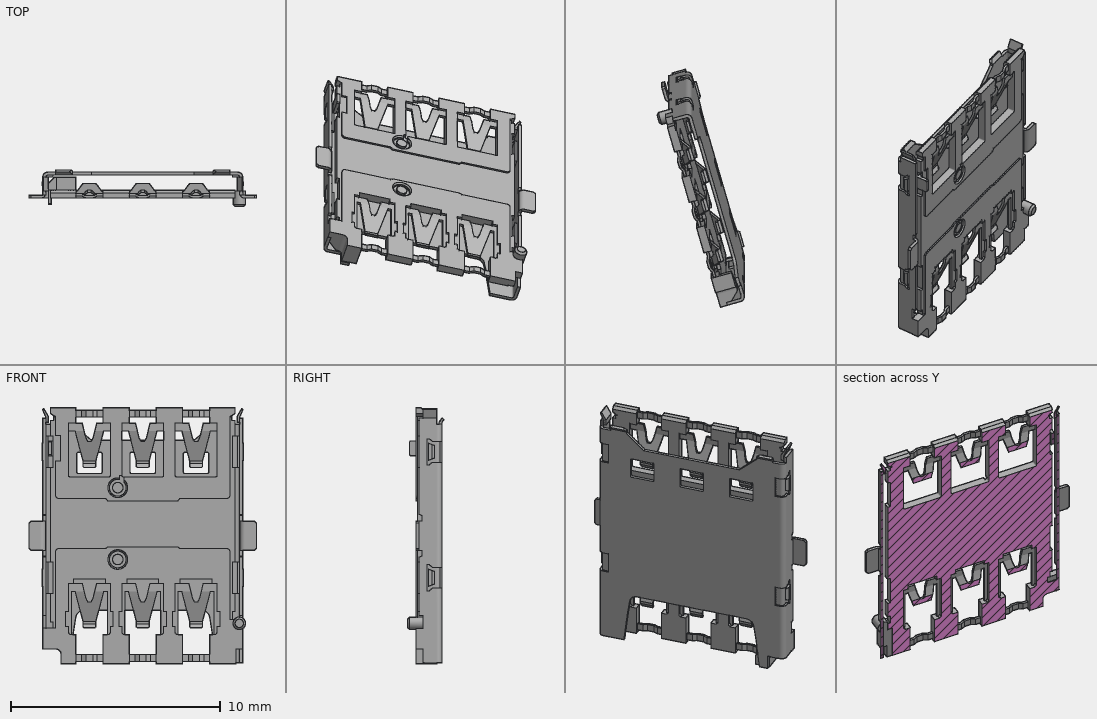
import cadquery as cq


PEG_END = -0.875
BASE_BOTTOM = -0.475
CORE_BOTTOM = -0.40
BASE_TOP = -0.09
COVER_TOP = 0.775
LIP_TOP = 0.875

EMBED = 0.05

BASE_HALF_Z = 6.1
CORE_HALF_X = 4.40
CORE_TOP_Z = 5.50
PAD_HALF_X = 4.16
PAD_STEP_HALF_X = 1.66
PAD_STEP_RUN = 0.10
UPPER_PAD_END = 1.77
UPPER_PAD_STEP = 1.65
LOWER_PAD_END = -0.60
LOWER_PAD_STEP = -0.53
PAD_RADIUS = 0.18
SHOULDER_Z = 5.82
NECK_HALF_X = 4.25
NECK_Z = 5.67
FOOT_TOP = -4.40
PEG_FOOT_TOP = -4.00
FOOT_BOTTOM = -5.40
FOOT_LEVEL = -0.13
FOOT_LEFT_END = -3.90
FOOT_NOTCH_RADIUS = 0.25
FOOT_RIGHT_END = 4.43
LEAD_IN = 0.13
CORNER_BLOCK_TOP = 0.53
CORNER_BLOCK_CHAMFER = 0.41
CORNER_BLOCK_FLAT_X = -4.10
CORNER_BLOCK_Z = -4.70

LEFT_SLOT_Z = (FOOT_TOP, -4.10)
RIGHT_SLOT_Z = (PEG_FOOT_TOP, -3.60)

TAB_NOTCH_X = -3.92
TAB_NOTCH_Z = (3.56, 4.77)
GROUND_TAB_X = (-4.50, -4.35)
GROUND_TAB_Z = (3.81, 4.52)
GROUND_TAB_END = -0.785
GROUND_TAB_ROOT_X = -4.20
GROUND_TAB_ROOT_Y = (-0.35, -0.20)

PITCH = 2.54
COLUMNS = (-PITCH, 0, PITCH)
WINDOW_HALF_X = 1.0
GAP_HALF_X = 0.64
UPPER_WINDOW_TOP = 5.36
UPPER_WINDOW_BOTTOM = 2.81
LOWER_WINDOW_TOP = -2.28
LOWER_WINDOW_BOTTOM = -4.71
WINDOW_RADIUS = 0.06
LOWER_WINDOW_CHAMFER = 0.09
RELIEF_HALF_X = 0.755
RELIEF_HEIGHT = 0.22
POCKET_HALF_X = 1.13
POCKET_Z = (-4.32, -3.60)

STRIP = 0.12
BAR_BOTTOM = -0.37
BAR_HEIGHT = 0.38
SPRING_REACH = 2.11
SPRING_PEAK = 0.236
SPRING_PEAK_Z = -1.80
SPRING_BEND_Z = -0.63
SPRING_BEND_RISE = 0.08
SPRING_TIP_DROP = 0.13
SPRING_TIP_HALF_X = 0.31
SPRING_TIP_CHAMFER = 0.05
SPRING_ROOT_HALF_X = 0.68
SPRING_NOTCH_HALF_X = 0.34
SPRING_THROAT_HALF_X = 0.17
SPRING_NOTCH_END_Z = -0.70
SPRING_NOTCH_END_HALF_X = 0.08
SPRING_NOTCH_BOTTOM_Z = -0.87
ARM_HALF_X = 0.85
TAIL_HEIGHT = 0.34
TAIL_MIDDLE_Z = 5.82
TAIL_BEND_OUT = 0.37
TAIL_BEND_IN = 0.16
TAIL_DROP = 0.10

GATE_X = -1.19
GATE_Z = (2.29, -1.13)
GATE_DIAMETER = 0.8
GATE_STUB_DIAMETER = 0.5
GATE_RIM_CHAMFER = 0.07
RIM_MARGIN = 0.001
GATE_DEPTH = 0.15
GATE_STUB_HEIGHT = 0.10
RUNNER_X = (-1.10, -0.90)
RUNNER_Z = (2.56, 2.88)

PEG_X = 4.60
PEG_Z = -4.17
PEG_DIAMETER = 0.6
PEG_CHAMFER = 0.10

SHEET = 0.15
COVER_HALF_X = 4.77
BEND_RADIUS = 0.25
INNER_BEND_RADIUS = BEND_RADIUS - SHEET
WALL_BOTTOM = -0.31
WALL_TOP_Z = 5.60
PLATE_TOP_Z = 5.32
COVER_END_Z = -6.05
LEFT_WALL_END_Z = -5.38
WALL_STEP_Z = -3.80
PLATE_MIDDLE_Z = 4.56
PLATE_MIDDLE_HALF_X = 2.45
TONGUE_HALF_X = (3.34, 4.15)
TONGUE_BEND_Z = 5.40
TONGUE_END_Z = 5.61
TONGUE_CHAMFER = 0.15
LEG_TOP_Z = -3.55
LEG_ROOT_HALF_X = 3.13
LEG_MIDDLE_HALF_X = 3.30
LEG_MIDDLE_Z = -4.60
LEG_END_HALF_X = 3.48
LEG_RADIUS = 0.4
COVER_WINDOW_HALF_X = 0.60
COVER_WINDOW_Z = (2.97, 3.97)
FOOT_TAB_HALF_X = 5.42
FOOT_TAB_HALF_Z = 0.70
FOOT_TAB_CHAMFER = 0.10
NOTCH_END_Z = 1.02
NOTCH_DEPTH_Y = -0.18
NOTCH_TAPER = 0.06

LATCH_Z = (4.0, -2.0)
LATCH_INSET = 0.10
LATCH_INNER_RADIUS = 0.05
LATCH_HALF_Z = 0.745
LATCH_INNER_X = 4.27
LATCH_WIDE_HALF = 0.62
LATCH_NARROW_HALF = 0.50
LATCH_BOTTOM = 0.05
LATCH_WIDE_TOP = 0.17
LATCH_NARROW_Y = 0.31
BUMP_OUTER_X = 4.81
BUMP_Y = (0.12, 0.42)
BUMP_HALF_Z = 0.41
BUMP_END_HALF_Z = 0.30
BUMP_CHAMFER = 0.13
FIN_Y = (-0.14, 0.53)
FIN_ROOT_Z = 5.40
FIN_BEND_Z = 5.68
FIN_TIP_Z = 6.07
FIN_INNER_X = 4.49
FIN_TIP_X = 4.72


def box(x, y, z):
    """Axis-aligned block from (low, high) ranges."""
    size = (x[1] - x[0], y[1] - y[0], z[1] - z[0])
    return cq.Workplane("XY").box(*size, centered=False).translate((x[0], y[0], z[0]))


def slab(points, y_low, y_high):
    """Prism with an XZ outline between two Y levels."""
    outline = cq.Workplane("XZ", origin=(0, y_high, 0)).polyline(points).close()
    return outline.extrude(y_high - y_low)


def side_prism(points, x_low, x_high):
    """Prism with a YZ outline between two X positions."""
    outline = cq.Workplane("YZ", origin=(x_low, 0, 0)).polyline(points).close()
    return outline.extrude(x_high - x_low)


def both_sides(body):
    """The body together with its mirror image across the YZ plane."""
    return body.union(body.mirror("YZ"))


def pad_step(side_z, middle_z):
    """Inner edge of a raised pad, from left to right, without its corners."""
    outer = PAD_STEP_HALF_X + PAD_STEP_RUN
    return [
        (-outer, side_z),
        (-PAD_STEP_HALF_X, middle_z),
        (PAD_STEP_HALF_X, middle_z),
        (outer, side_z),
    ]


def round_pad_corners(pad, z):
    """Round the two outer corners of a pad on its inner edge at the given height."""
    middle_y = (BASE_BOTTOM + BASE_TOP) / 2
    for x in (-PAD_HALF_X, PAD_HALF_X):
        corner = cq.selectors.NearestToPointSelector((x, middle_y, z))
        pad = pad.edges("|Y").edges(corner).fillet(PAD_RADIUS)
    return pad


def make_upper_pad():
    neck = [
        (PAD_HALF_X, NECK_Z),
        (CORE_HALF_X, SHOULDER_Z),
        (CORE_HALF_X, BASE_HALF_Z),
    ]
    right = [(PAD_HALF_X, UPPER_PAD_END)] + neck
    left = [(-x, z) for x, z in reversed(right)]
    outline = pad_step(UPPER_PAD_END, UPPER_PAD_STEP) + right + left
    pad = slab(outline, BASE_BOTTOM, BASE_TOP)
    pad = round_pad_corners(pad, UPPER_PAD_END)
    pad = pad.edges("|X and >Y and >Z").chamfer(LEAD_IN)
    notch = box((-PAD_HALF_X, TAB_NOTCH_X), (BASE_BOTTOM, CORE_BOTTOM), TAB_NOTCH_Z)
    return pad.cut(notch)


def make_lower_pad():
    outline = pad_step(LOWER_PAD_END, LOWER_PAD_STEP) + [
        (PAD_HALF_X, LOWER_PAD_END),
        (PAD_HALF_X, -BASE_HALF_Z),
        (FOOT_LEFT_END, -BASE_HALF_Z),
        (FOOT_LEFT_END, FOOT_BOTTOM),
        (-PAD_HALF_X, FOOT_BOTTOM),
        (-PAD_HALF_X, LOWER_PAD_END),
    ]
    pad = slab(outline, BASE_BOTTOM, BASE_TOP)
    return round_pad_corners(pad, LOWER_PAD_END)


def make_feet():
    """Wide feet under the cover walls and the tall block in the card's cut-off corner."""
    foot_y = (BASE_BOTTOM, FOOT_LEVEL)
    foot_z = (FOOT_BOTTOM, FOOT_TOP)
    feet = box((-COVER_HALF_X, FOOT_LEFT_END), foot_y, foot_z)
    feet = feet.union(box((PAD_HALF_X, COVER_HALF_X), foot_y, foot_z))
    feet = feet.union(box((PAD_HALF_X, FOOT_RIGHT_END), foot_y, (-BASE_HALF_Z, PEG_FOOT_TOP)))
    block_left = -COVER_HALF_X + SHEET
    block_right = -PITCH - GAP_HALF_X
    block = slab(
        [
            (block_left, CORNER_BLOCK_Z),
            (CORNER_BLOCK_FLAT_X, CORNER_BLOCK_Z),
            (block_right, CORNER_BLOCK_Z + CORNER_BLOCK_FLAT_X - block_right),
            (block_right, -BASE_HALF_Z),
            (FOOT_LEFT_END, -BASE_HALF_Z),
            (FOOT_LEFT_END, FOOT_BOTTOM),
            (block_left, FOOT_BOTTOM),
        ],
        BASE_BOTTOM,
        CORNER_BLOCK_TOP,
    )
    bend_clearance = (
        cq.Workplane("XY", origin=(0, 0, -BASE_HALF_Z))
        .moveTo(block_left, CORNER_BLOCK_TOP)
        .lineTo(block_left + CORNER_BLOCK_CHAMFER, CORNER_BLOCK_TOP)
        .lineTo(block_left, CORNER_BLOCK_TOP - CORNER_BLOCK_CHAMFER)
        .close()
        .extrude(BASE_HALF_Z)
    )
    return feet.union(block.cut(bend_clearance))


def foot_notch():
    """Rounded inner corner where the left foot steps in to the last column."""
    side = FOOT_NOTCH_RADIUS
    corner = box(
        (FOOT_LEFT_END - side, FOOT_LEFT_END + EMBED),
        (BASE_BOTTOM, CORNER_BLOCK_TOP),
        (FOOT_BOTTOM - side, FOOT_BOTTOM),
    )
    cylinder = (
        cq.Workplane("XZ", origin=(FOOT_LEFT_END - side, CORNER_BLOCK_TOP, FOOT_BOTTOM - side))
        .circle(side)
        .extrude(CORNER_BLOCK_TOP - BASE_BOTTOM)
    )
    return corner.cut(cylinder)


def upper_window(center_x):
    full_y = (BASE_BOTTOM, CORNER_BLOCK_TOP)
    window = box(
        (center_x - WINDOW_HALF_X, center_x + WINDOW_HALF_X),
        full_y,
        (UPPER_WINDOW_BOTTOM, UPPER_WINDOW_TOP),
    )
    window = window.edges("|Y and <Z").fillet(WINDOW_RADIUS)
    gap_x = (center_x - GAP_HALF_X, center_x + GAP_HALF_X)
    return window.union(box(gap_x, full_y, (UPPER_WINDOW_TOP, BASE_HALF_Z)))


def lower_window(center_x):
    full_y = (BASE_BOTTOM, BASE_TOP)

    def opening(half_x, z_low, z_high):
        return box((center_x - half_x, center_x + half_x), full_y, (z_low, z_high))

    window = opening(WINDOW_HALF_X, LOWER_WINDOW_BOTTOM, LOWER_WINDOW_TOP)
    window = window.edges("|Y and <Z").chamfer(LOWER_WINDOW_CHAMFER)
    window = window.union(opening(RELIEF_HALF_X, LOWER_WINDOW_TOP, LOWER_WINDOW_TOP + RELIEF_HEIGHT))
    pocket = opening(POCKET_HALF_X, *POCKET_Z)
    window = window.union(pocket.translate((0, BAR_BOTTOM - BASE_TOP, 0)))
    return window.union(opening(GAP_HALF_X, -BASE_HALF_Z, LOWER_WINDOW_BOTTOM))


def cut_gate(base, z):
    """Round recess with a chamfered rim and a short stub in the middle."""

    def disc(diameter, y_low, y_high):
        plane = cq.Workplane("XZ", origin=(GATE_X, y_high, z))
        return plane.circle(diameter / 2).extrude(y_high - y_low)

    floor = BASE_BOTTOM + GATE_DEPTH
    rim_diameter = GATE_DIAMETER + 2 * GATE_RIM_CHAMFER
    rim = disc(rim_diameter, BASE_BOTTOM, BASE_BOTTOM + GATE_RIM_CHAMFER)
    rim = rim.faces(">Y").edges().chamfer(GATE_RIM_CHAMFER - RIM_MARGIN)
    base = base.cut(disc(GATE_DIAMETER, BASE_BOTTOM, floor)).cut(rim)
    return base.union(disc(GATE_STUB_DIAMETER, floor - GATE_STUB_HEIGHT, floor))


def make_ground_tab():
    tab = box(GROUND_TAB_X, (GROUND_TAB_END, BASE_TOP), GROUND_TAB_Z)
    tab = tab.edges("|X and <Y").chamfer(WINDOW_RADIUS)
    return tab.union(box((GROUND_TAB_X[0], GROUND_TAB_ROOT_X), GROUND_TAB_ROOT_Y, GROUND_TAB_Z))


def make_peg():
    peg = cq.Workplane("XZ", origin=(PEG_X, FOOT_LEVEL, PEG_Z)).circle(PEG_DIAMETER / 2)
    return peg.extrude(FOOT_LEVEL - PEG_END).faces("<Y").chamfer(PEG_CHAMFER)


def edge_notches():
    """Clearances in both long edges of the core, beside the cover latches and the feet."""
    depth_y = (BASE_BOTTOM, BASE_TOP)
    right_x = (LATCH_INNER_X, CORE_HALF_X)
    left_x = (-CORE_HALF_X, -LATCH_INNER_X)
    notches = box(left_x, depth_y, LEFT_SLOT_Z).union(box(right_x, depth_y, RIGHT_SLOT_Z))
    for z in LATCH_Z:
        notch = box(right_x, depth_y, (z - LATCH_HALF_Z, z + LATCH_HALF_Z))
        notches = notches.union(both_sides(notch))
    return notches


def make_base():
    core = box((-CORE_HALF_X, CORE_HALF_X), (CORE_BOTTOM, BASE_TOP), (FOOT_TOP, CORE_TOP_Z))
    core = core.union(box((-NECK_HALF_X, NECK_HALF_X), (CORE_BOTTOM, BASE_TOP), (FOOT_TOP, NECK_Z)))
    core = core.cut(edge_notches())
    base = core.union(make_upper_pad()).union(make_lower_pad()).union(make_feet())
    base = base.union(foot_notch())
    for x in COLUMNS:
        base = base.cut(upper_window(x)).cut(lower_window(x))
    for z in GATE_Z:
        base = cut_gate(base, z)
    base = base.cut(box(RUNNER_X, (BASE_BOTTOM, BASE_BOTTOM + GATE_DEPTH), RUNNER_Z))
    return base.union(make_ground_tab()).union(make_peg())


def make_spring():
    """Cross bar and V-shaped spring at x = 0, with the top of the bar at z = 0."""
    bar_top = BAR_BOTTOM + STRIP
    bend_bottom = BAR_BOTTOM + SPRING_BEND_RISE
    tip_y = SPRING_PEAK - SPRING_TIP_DROP
    profile = side_prism(
        [
            (BAR_BOTTOM, 0),
            (bar_top, 0),
            (bar_top, -BAR_HEIGHT),
            (bend_bottom + STRIP, SPRING_BEND_Z),
            (SPRING_PEAK, SPRING_PEAK_Z),
            (SPRING_PEAK, SPRING_PEAK_Z - STRIP),
            (tip_y, -SPRING_REACH),
            (tip_y - STRIP, -SPRING_REACH),
            (SPRING_PEAK - STRIP, SPRING_PEAK_Z - STRIP),
            (SPRING_PEAK - STRIP, SPRING_PEAK_Z),
            (bend_bottom, SPRING_BEND_Z),
            (BAR_BOTTOM, -BAR_HEIGHT),
        ],
        -WINDOW_HALF_X,
        WINDOW_HALF_X,
    )
    half = [
        (SPRING_NOTCH_END_HALF_X, SPRING_NOTCH_BOTTOM_Z),
        (SPRING_THROAT_HALF_X, SPRING_NOTCH_END_Z),
        (SPRING_NOTCH_HALF_X, 0),
        (WINDOW_HALF_X, 0),
        (WINDOW_HALF_X, -BAR_HEIGHT),
        (SPRING_ROOT_HALF_X, -BAR_HEIGHT),
        (SPRING_TIP_HALF_X, SPRING_PEAK_Z),
        (SPRING_TIP_HALF_X, SPRING_TIP_CHAMFER - SPRING_REACH),
        (SPRING_TIP_HALF_X - SPRING_TIP_CHAMFER, -SPRING_REACH),
    ]
    left = [(-x, z) for x, z in reversed(half)]
    outline = slab(half + left, BASE_BOTTOM, COVER_TOP)
    return profile.intersect(outline)


def make_arms():
    """Two strips down the sides of a lower window at x = 0, with barbs set in the pockets."""
    arm_y = (BAR_BOTTOM, BAR_BOTTOM + STRIP)
    arm = box((ARM_HALF_X, WINDOW_HALF_X), arm_y, (LOWER_WINDOW_BOTTOM, LOWER_WINDOW_TOP))
    arm = arm.edges("|Y and >X and <Z").chamfer(LOWER_WINDOW_CHAMFER)
    return both_sides(arm.union(box((ARM_HALF_X, POCKET_HALF_X), arm_y, POCKET_Z)))


def make_tail(center_z):
    """Solder tail: a strip across a gap, dipping to the mounting plane in its middle."""
    end_x = GAP_HALF_X + EMBED
    lower = [
        (end_x, BAR_BOTTOM),
        (TAIL_BEND_OUT, BAR_BOTTOM),
        (TAIL_BEND_IN, BAR_BOTTOM - TAIL_DROP),
    ]
    lower = lower + [(-x, y) for x, y in reversed(lower)]
    upper = [(x, y + STRIP) for x, y in reversed(lower)]
    plane = cq.Workplane("XY", origin=(0, 0, center_z - TAIL_HEIGHT / 2))
    return plane.polyline(lower + upper).close().extrude(TAIL_HEIGHT)


def make_contacts():
    spring = make_spring()
    upper = spring.translate((0, 0, UPPER_WINDOW_TOP)).union(make_tail(TAIL_MIDDLE_Z))
    lower = spring.translate((0, 0, LOWER_WINDOW_TOP)).union(make_arms())
    column = upper.union(lower).union(make_tail(-TAIL_MIDDLE_Z))
    contacts = column
    for x in (-PITCH, PITCH):
        contacts = contacts.union(column.translate((x, 0, 0)))
    return contacts


def bent_sheet(outer_x, top, bottom, z_range, radius, inner_radius):
    """Channel of bent sheet: a plate with a wall down each side."""
    outer = box((-outer_x, outer_x), (bottom, top), z_range)
    outer = outer.edges("|Z and >Y").fillet(radius)
    inner_x = outer_x - SHEET
    inner = box((-inner_x, inner_x), (bottom, top - SHEET), z_range)
    return outer.cut(inner.edges("|Z and >Y").fillet(inner_radius))


def bottom_opening():
    """Opening between the two legs at the lower end of the cover plate."""
    opening = slab(
        [
            (-LEG_ROOT_HALF_X, LEG_TOP_Z),
            (LEG_ROOT_HALF_X, LEG_TOP_Z),
            (LEG_MIDDLE_HALF_X, LEG_MIDDLE_Z),
            (LEG_END_HALF_X, COVER_END_Z),
            (-LEG_END_HALF_X, COVER_END_Z),
            (-LEG_MIDDLE_HALF_X, LEG_MIDDLE_Z),
        ],
        CORNER_BLOCK_TOP,
        COVER_TOP,
    )
    return opening.edges("|Y and >Z").fillet(LEG_RADIUS)


def top_opening():
    """Region above the dipped upper edge of the cover plate."""
    low_x = PLATE_MIDDLE_HALF_X
    high_x = TONGUE_HALF_X[0]
    return slab(
        [
            (-low_x, PLATE_MIDDLE_Z),
            (low_x, PLATE_MIDDLE_Z),
            (high_x, PLATE_TOP_Z),
            (high_x, WALL_TOP_Z),
            (-high_x, WALL_TOP_Z),
            (-high_x, PLATE_TOP_Z),
        ],
        CORNER_BLOCK_TOP,
        COVER_TOP,
    )


def make_tongue():
    """Lead-in tongue on the right that curls up from the plate's upper edge."""
    under = COVER_TOP - SHEET
    rise = LIP_TOP - COVER_TOP
    inner_x = TONGUE_HALF_X[0]
    tongue = side_prism(
        [
            (under, PLATE_TOP_Z - SHEET),
            (COVER_TOP, PLATE_TOP_Z - SHEET),
            (COVER_TOP, TONGUE_BEND_Z),
            (LIP_TOP, TONGUE_END_Z - SHEET / 2),
            (LIP_TOP - rise, TONGUE_END_Z),
            (under, TONGUE_BEND_Z),
        ],
        *TONGUE_HALF_X,
    )
    corner = [
        (inner_x, TONGUE_END_Z - TONGUE_CHAMFER),
        (inner_x + TONGUE_CHAMFER, TONGUE_END_Z),
        (inner_x, TONGUE_END_Z),
    ]
    return tongue.cut(slab(corner, CORNER_BLOCK_TOP, LIP_TOP))


def make_fin():
    """Lead-in fin on the right that flares outward from the inside of the wall."""
    wall_x = COVER_HALF_X - SHEET + EMBED / 2
    fin = [
        (FIN_INNER_X, FIN_ROOT_Z),
        (FIN_INNER_X, FIN_BEND_Z),
        (FIN_TIP_X, FIN_TIP_Z),
        (FIN_TIP_X + STRIP / 2, FIN_TIP_Z - STRIP / 2),
        (FIN_INNER_X + STRIP, FIN_BEND_Z - STRIP / 2),
        (FIN_INNER_X + STRIP, CORE_TOP_Z),
        (wall_x, CORE_TOP_Z),
        (wall_x, FIN_ROOT_Z),
    ]
    return slab(fin, *FIN_Y)


def make_foot_tab():
    """Solder tab on the right, bent outward from the bottom of the wall."""
    z_range = (-FOOT_TAB_HALF_Z, FOOT_TAB_HALF_Z)
    top = BASE_BOTTOM + SHEET
    inner_x = COVER_HALF_X - SHEET
    flat = box((inner_x, FOOT_TAB_HALF_X), (BASE_BOTTOM, top), z_range)
    flat = flat.edges("|Y and >X").chamfer(FOOT_TAB_CHAMFER)
    wall = box((inner_x, COVER_HALF_X), (BASE_BOTTOM, NOTCH_DEPTH_Y), z_range)
    return flat.union(wall).edges("|Z and <X and <Y").fillet(BEND_RADIUS)


def wall_notch(direction):
    """Bend relief beside the solder tabs, cut up into both walls."""
    return side_prism(
        [
            (WALL_BOTTOM, direction * FOOT_TAB_HALF_Z),
            (NOTCH_DEPTH_Y, direction * FOOT_TAB_HALF_Z),
            (NOTCH_DEPTH_Y, direction * (NOTCH_END_Z - NOTCH_TAPER)),
            (WALL_BOTTOM, direction * NOTCH_END_Z),
        ],
        -COVER_HALF_X,
        COVER_HALF_X,
    )


def latch_opening(center_z):
    """Opening on the right side that wraps from the wall around the bend into the plate."""
    half = [
        (LATCH_BOTTOM, LATCH_WIDE_HALF),
        (LATCH_WIDE_TOP, LATCH_WIDE_HALF),
        (LATCH_NARROW_Y, LATCH_NARROW_HALF),
        (COVER_TOP, LATCH_NARROW_HALF),
    ]
    mirrored = [(y, -z) for y, z in reversed(half)]
    points = [(y, center_z + z) for y, z in half + mirrored]
    return side_prism(points, LATCH_INNER_X, COVER_HALF_X)


def make_latch(center_z):
    """Inset spring on the right behind a latch opening, with its outward bump."""
    outer_x = COVER_HALF_X - LATCH_INSET
    z_range = (center_z - LATCH_HALF_Z, center_z + LATCH_HALF_Z)
    spring = bent_sheet(
        outer_x,
        COVER_TOP - LATCH_INSET,
        LATCH_BOTTOM - EMBED,
        z_range,
        BEND_RADIUS - LATCH_INSET,
        LATCH_INNER_RADIUS,
    )
    spring = spring.intersect(box((LATCH_INNER_X, outer_x), (BASE_BOTTOM, COVER_TOP), z_range))
    bump = side_prism(
        [
            (BUMP_Y[0], center_z - BUMP_HALF_Z),
            (BUMP_Y[0], center_z + BUMP_HALF_Z),
            (BUMP_Y[1], center_z + BUMP_END_HALF_Z),
            (BUMP_Y[1], center_z - BUMP_END_HALF_Z),
        ],
        outer_x - EMBED,
        BUMP_OUTER_X,
    )
    bump = bump.edges(">X and >Y").chamfer(BUMP_CHAMFER)
    return spring.union(bump)


def trim_walls(cover):
    """Shape the ends and lower edges of the two cover walls."""
    left_corner = (-COVER_HALF_X, FOOT_LEFT_END)
    foot_z = (COVER_END_Z, WALL_STEP_Z)
    below_plate = COVER_TOP - BEND_RADIUS
    all_x = (-COVER_HALF_X, COVER_HALF_X)
    cover = cover.cut(box(all_x, (WALL_BOTTOM, FOOT_LEVEL), foot_z))
    cover = cover.cut(box(left_corner, (WALL_BOTTOM, COVER_TOP), (COVER_END_Z, LEFT_WALL_END_Z)))
    cover = cover.cut(box(all_x, (below_plate, COVER_TOP), (PLATE_TOP_Z, WALL_TOP_Z)))
    for direction in (-1, 1):
        cover = cover.cut(wall_notch(direction))
    return cover


def make_cover():
    z_range = (COVER_END_Z, WALL_TOP_Z)
    cover = bent_sheet(
        COVER_HALF_X,
        COVER_TOP,
        WALL_BOTTOM,
        z_range,
        BEND_RADIUS,
        INNER_BEND_RADIUS,
    )
    cover = trim_walls(cover).cut(bottom_opening()).cut(top_opening())
    for x in COLUMNS:
        window_x = (x - COVER_WINDOW_HALF_X, x + COVER_WINDOW_HALF_X)
        window = box(window_x, (CORNER_BLOCK_TOP, COVER_TOP), COVER_WINDOW_Z)
        cover = cover.cut(window.edges("|Y").fillet(WINDOW_RADIUS))
    for z in LATCH_Z:
        opening = both_sides(latch_opening(z))
        cover = cover.cut(opening).union(both_sides(make_latch(z)))
    for detail in (make_tongue(), make_fin(), make_foot_tab()):
        cover = cover.union(both_sides(detail))
    return cover


result = make_base().union(make_contacts()).union(make_cover())